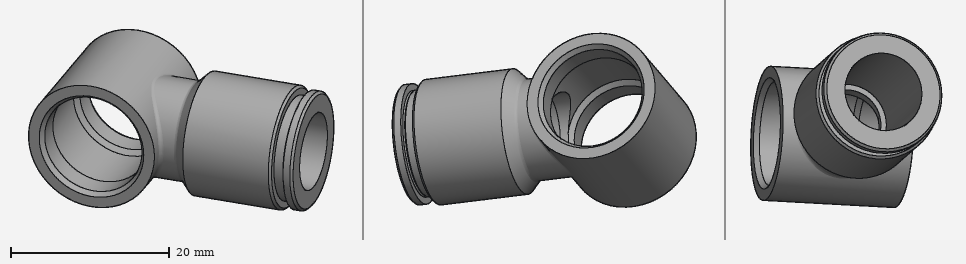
import cadquery as cq

ring_radius = 8.5
ring_width = 2 * ring_radius
mouth_radius = 7.05
land_radius = 6.55
mouth_chamfer_length = 0.67
land_end_depth = 3.65
relief_radius = 7.2

overall_length = 35.3
branch_end = overall_length - ring_radius
blend_radius = 0.5
neck_radius = 6.5
body_radius = 8.0
body_start = 12.15
body_end = 24.0
body_chamfer = 0.32
sleeve_radius = 6.8
groove_start = 25.2
groove_depth = 0.2
flange_start = 25.55
flange_radius = 7.7
flange_chamfer = 0.32

passage_radius = 4.3
socket_radius = 5.0
socket_start = 8.22

selection_margin = 0.05


def axial_cylinder(radius, start, end):
    """Cylinder along X between two positions."""
    return cq.Workplane("YZ").workplane(offset=start).circle(radius).extrude(end - start)


def edges_between(start, end, radius):
    """Selector for edges lying between two X positions and within a radius of the X axis."""
    reach = radius + selection_margin
    return cq.selectors.BoxSelector(
        (start - selection_margin, -reach, -reach),
        (end + selection_margin, reach, reach),
        boundingbox=True,
    )


def ring_blank():
    return cq.Workplane("XZ").circle(ring_radius).extrude(ring_width / 2, both=True)


def neck_and_body():
    """Neck, 45 degree shoulder and body, blended where the neck meets the shoulder."""
    shoulder_start = body_start - (body_radius - neck_radius)
    profile = (
        cq.Workplane("XY")
        .moveTo(0, 0)
        .lineTo(0, neck_radius)
        .lineTo(shoulder_start, neck_radius)
        .lineTo(body_start, body_radius)
        .lineTo(body_end - body_chamfer, body_radius)
        .lineTo(body_end, body_radius - body_chamfer)
        .lineTo(body_end, 0)
        .close()
    )
    turned = profile.revolve(360, (0, 0, 0), (1, 0, 0))
    shoulder_corner = edges_between(shoulder_start, shoulder_start, neck_radius)
    return turned.edges(shoulder_corner).fillet(blend_radius)


def release_sleeve():
    """Sleeve leaving the body, a small V groove and a thin flange at the tip."""
    groove_middle = (groove_start + flange_start) / 2
    sleeve = (
        cq.Workplane("XY")
        .moveTo(body_end, 0)
        .lineTo(body_end, sleeve_radius)
        .lineTo(groove_start, sleeve_radius)
        .lineTo(groove_middle, sleeve_radius - groove_depth)
        .lineTo(flange_start, sleeve_radius)
        .lineTo(flange_start, 0)
        .close()
        .revolve(360, (0, 0, 0), (1, 0, 0))
    )
    flange = axial_cylinder(flange_radius, flange_start, branch_end).faces(">X").chamfer(flange_chamfer)
    return sleeve.union(flange)


def ring_bore():
    """Stepped bore: chamfered mouths, two sealing lands and a wider relief between them."""
    mouth = ring_width / 2
    land_start = mouth - mouth_chamfer_length
    land_end = mouth - land_end_depth
    relief_end = land_end - (relief_radius - land_radius)
    half_profile = [
        (mouth_radius, mouth),
        (land_radius, land_start),
        (land_radius, land_end),
        (relief_radius, relief_end),
    ]
    mirrored = [(radius, -y) for radius, y in reversed(half_profile)]
    outline = [(0, mouth)] + half_profile + mirrored + [(0, -mouth)]
    return cq.Workplane("XY").polyline(outline).close().revolve(360, (0, 0, 0), (0, 1, 0))


def branch_bore():
    passage = axial_cylinder(passage_radius, 0, socket_start)
    return passage.union(axial_cylinder(socket_radius, socket_start, branch_end))


result = ring_blank().union(neck_and_body())
junction = edges_between(0, ring_radius, neck_radius)
result = result.edges(junction).fillet(blend_radius)
result = result.union(release_sleeve())
result = result.cut(ring_bore()).cut(branch_bore())